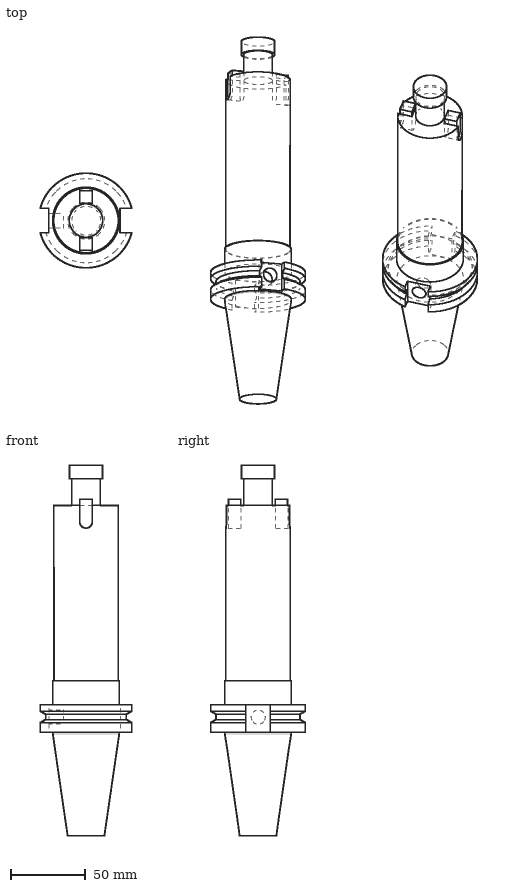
import cadquery as cq
import math

total_height = 247.5

taper_ratio = 7 / 24
taper_length = 68.3
gauge_diameter = 44.5
taper_end_diameter = gauge_diameter - taper_length * taper_ratio

flange_diameter = 63.4
flange_bottom = 69.0
flange_top = 87.5
groove_diameter = 56.2
groove_center = 79.5
groove_floor_width = 3.5
groove_side_angle = 30.0
groove_side_height = (flange_diameter - groove_diameter) / 2 * math.tan(math.radians(groove_side_angle))

notch_width = 16.0
left_notch_distance = 25.0
right_notch_distance = 22.8
notch_hole_diameter = 9.5
notch_hole_depth = 10.0

collar_diameter = gauge_diameter
collar_top = 103.7
body_diameter = 43.0
body_top = 220.5
spigot_diameter = 19.3

head_diameter = 22.3
head_height = 9.2
head_bottom = total_height - head_height

key_width = 8.5
key_inner = 11.5
key_outer = 19.8
key_bottom = 205.5
key_top = 224.7


def revolved_holder():
    """Turned shape of the holder, from the taper end to the spigot."""
    groove_floor_bottom = groove_center - groove_floor_width / 2
    groove_floor_top = groove_center + groove_floor_width / 2
    profile = [
        (0, 0),
        (taper_end_diameter / 2, 0),
        (gauge_diameter / 2, taper_length),
        (gauge_diameter / 2, flange_bottom),
        (flange_diameter / 2, flange_bottom),
        (flange_diameter / 2, groove_floor_bottom - groove_side_height),
        (groove_diameter / 2, groove_floor_bottom),
        (groove_diameter / 2, groove_floor_top),
        (flange_diameter / 2, groove_floor_top + groove_side_height),
        (flange_diameter / 2, flange_top),
        (collar_diameter / 2, flange_top),
        (collar_diameter / 2, collar_top),
        (body_diameter / 2, collar_top),
        (body_diameter / 2, body_top),
        (spigot_diameter / 2, body_top),
        (spigot_diameter / 2, head_bottom),
        (0, head_bottom),
    ]
    return cq.Workplane("XZ").polyline(profile).close().revolve(360, (0, 0, 0), (0, 1, 0))


def notch_cutter(side, distance):
    """Block that clears a flange notch outside the given distance from the axis."""
    return (
        cq.Workplane("XY")
        .box(flange_diameter, notch_width, flange_top - flange_bottom, centered=(True, True, False))
        .translate((side * (distance + flange_diameter / 2), 0, flange_bottom))
    )


def notch_hole():
    """Blind radial hole in the floor of the -X notch."""
    return (
        cq.Workplane("YZ", origin=(-left_notch_distance, 0, 0))
        .center(0, groove_center)
        .circle(notch_hole_diameter / 2)
        .extrude(notch_hole_depth)
    )


def key_shape(side, outer):
    """Upright bar with a round lower end, reaching from key_inner to outer along Y."""
    arc_center = key_bottom + key_width / 2
    bar = (
        cq.Workplane("XZ", origin=(0, -key_inner, 0))
        .moveTo(-key_width / 2, key_top)
        .lineTo(-key_width / 2, arc_center)
        .threePointArc((0, key_bottom), (key_width / 2, arc_center))
        .lineTo(key_width / 2, key_top)
        .close()
        .extrude(outer - key_inner)
    )
    return bar if side < 0 else bar.mirror("XZ")


def build_holder():
    """Holder with its flange notches, notch hole and open keyways."""
    holder = revolved_holder()
    holder = holder.cut(notch_cutter(-1, left_notch_distance))
    holder = holder.cut(notch_cutter(1, right_notch_distance))
    holder = holder.cut(notch_hole())
    for side in (-1, 1):
        holder = holder.cut(key_shape(side, body_diameter))
    return holder


def build_screw_head():
    """Plain round head resting on the spigot."""
    return cq.Workplane("XY", origin=(0, 0, head_bottom)).circle(head_diameter / 2).extrude(head_height)


holder = build_holder()
screw_head = build_screw_head()
keys = [key_shape(side, key_outer).val() for side in (-1, 1)]

result = cq.Compound.makeCompound([holder.val(), screw_head.val(), *keys])